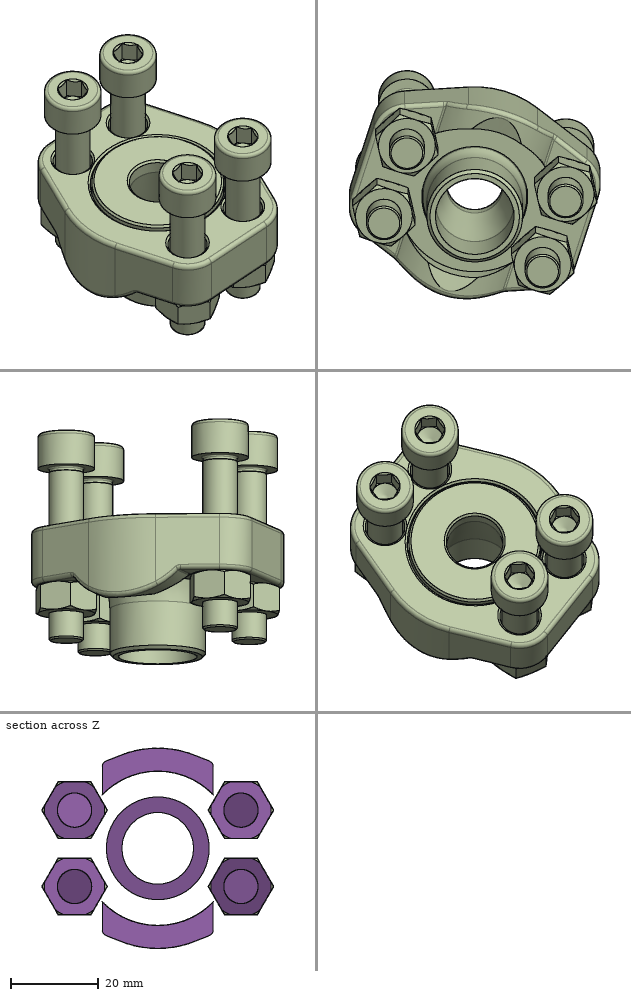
import cadquery as cq
import math


hexagon_half_step = 30.0

bolt_pitch_x = 38.1
bolt_pitch_y = 17.5
bolt_points = [(sx * bolt_pitch_x / 2, sy * bolt_pitch_y / 2) for sx in (-1, 1) for sy in (-1, 1)]

flange_length = 54.0
flange_width = 45.95
flange_thickness = 13.0
flange_edge_radius = 1.0
corner_radius = (flange_length - bolt_pitch_x) / 2
end_radius = flange_width / 2
belly_depth = 6.0
belly_radius = 17.0
belly_crease_radius = 0.65
edge_break = 0.5
bolt_hole_diameter = 9.0
recess_diameter = 30.95
flange_bore_diameter = 24.25
weld_clearance_diameter = 35.3
weld_clearance_flare_width = 3.8
weld_clearance_flare_height = 1.1

insert_height = 30.0
insert_bottom = -16.35
insert_top = insert_bottom + insert_height
insert_head_diameter = 30.2
insert_head_height = 5.0
seat_level = insert_top - insert_head_height
shank_diameter = 23.8
neck_diameter = 22.0
neck_top = -5.35
neck_blend_radius = 16.0
neck_chamfer = 0.75
bore_diameter = 13.0
pipe_bore_diameter = 18.0
straight_bore_depth = 3.5

screw_diameter = 8.0
screw_length = 40.0
screw_head_diameter = 13.0
screw_head_height = 8.0
screw_top = 35.25
head_seat = screw_top - screw_head_height
head_edge_radius = 0.8
relief_diameter = 7.8
relief_length = 1.0
relief_fillet = 0.4
screw_tip_chamfer = 0.4
socket_flats = 6.0
socket_depth = 5.0
socket_turn = 10.0
socket_cone_angle = 30.0

nut_flats = 13.0
nut_height = 6.5
nut_chamfer_angle = 30.0


def hexagon_corners(flats):
    """Diameter over the corners of a hexagon."""
    return flats / math.cos(math.radians(hexagon_half_step))


def disc(diameter, bottom, top):
    """Upright cylinder on the Z axis."""
    return cq.Workplane("XY").workplane(offset=bottom).circle(diameter / 2).extrude(top - bottom)


def revolve_about_z(profile):
    """Revolve a closed (radius, z) profile about the Z axis."""
    return profile.revolve(360, (0, 0, 0), (0, 1, 0))


def flange_outline():
    """Four corner arcs and two end arcs, joined by their common tangents."""
    cx = bolt_pitch_x / 2
    cy = bolt_pitch_y / 2
    normal = math.atan2(cy, cx) + math.acos((end_radius - corner_radius) / math.hypot(cx, cy))
    nx = math.cos(normal)
    ny = math.sin(normal)
    mid = normal / 2
    corner_end = (cx + corner_radius * nx, cy + corner_radius * ny)
    corner_mid = (cx + corner_radius * math.cos(mid), cy + corner_radius * math.sin(mid))
    end_start = (end_radius * nx, end_radius * ny)
    half_length = flange_length / 2
    return (
        cq.Workplane("XY")
        .moveTo(half_length, -cy)
        .lineTo(half_length, cy)
        .threePointArc(corner_mid, corner_end)
        .lineTo(*end_start)
        .threePointArc((0, end_radius), (-end_start[0], end_start[1]))
        .lineTo(-corner_end[0], corner_end[1])
        .threePointArc((-corner_mid[0], corner_mid[1]), (-half_length, cy))
        .lineTo(-half_length, -cy)
        .threePointArc((-corner_mid[0], -corner_mid[1]), (-corner_end[0], -corner_end[1]))
        .lineTo(-end_start[0], -end_start[1])
        .threePointArc((0, -end_radius), (end_start[0], -end_start[1]))
        .lineTo(corner_end[0], -corner_end[1])
        .threePointArc((corner_mid[0], -corner_mid[1]), (half_length, -cy))
        .close()
    )


def flange_blank():
    """Outline block whose underside is flat with a cylindrical belly across the middle."""
    block = flange_outline().extrude(flange_thickness + belly_depth)
    block = block.translate((0, 0, -belly_depth))
    belly_half_width = math.sqrt(belly_radius**2 - (belly_radius - belly_depth) ** 2)
    half_length = flange_length / 2
    side_profile = (
        cq.Workplane("XZ")
        .moveTo(-half_length, flange_thickness)
        .lineTo(-half_length, 0)
        .lineTo(-belly_half_width, 0)
        .threePointArc((0, -belly_depth), (belly_half_width, 0))
        .lineTo(half_length, 0)
        .lineTo(half_length, flange_thickness)
        .close()
        .extrude(flange_width / 2, both=True)
        .edges("|Y and (not >Z) and (not <X) and (not >X)")
        .fillet(belly_crease_radius)
    )
    blank = block.intersect(side_profile)
    blank = blank.faces(">Z").edges().fillet(flange_edge_radius)
    lower_rim = [
        edge
        for edge in blank.edges().vals()
        if edge.Center().z <= flange_edge_radius
        and math.hypot(edge.Center().x, edge.Center().y) > recess_diameter / 2
    ]
    return blank.newObject(lower_rim).fillet(flange_edge_radius)


def weld_clearance():
    """Round space cut through the belly up to the flat underside, flaring conically at its lower end."""
    wall_radius = weld_clearance_diameter / 2
    flare_top = weld_clearance_flare_height - belly_depth
    profile = (
        cq.Workplane("XZ")
        .lineTo(wall_radius, 0)
        .lineTo(wall_radius, flare_top)
        .lineTo(wall_radius + weld_clearance_flare_width, -belly_depth)
        .lineTo(0, -belly_depth)
        .close()
    )
    return revolve_about_z(profile)


def chamfered_hole(diameter, bottom):
    """Cutter for a hole down to the given level, with a chamfer at the flange's top face."""
    hole = disc(diameter, bottom, flange_thickness)
    mouth = revolve_about_z(
        cq.Workplane("XZ")
        .moveTo(0, flange_thickness)
        .lineTo(diameter / 2 + edge_break, flange_thickness)
        .lineTo(diameter / 2, flange_thickness - edge_break)
        .lineTo(0, flange_thickness - edge_break)
        .close()
    )
    return hole.union(mouth)


def make_flange():
    flange = flange_blank()
    flange = flange.cut(disc(flange_bore_diameter, -belly_depth, flange_thickness))
    flange = flange.cut(weld_clearance())
    flange = flange.cut(chamfered_hole(recess_diameter, seat_level))
    bolt_hole = chamfered_hole(bolt_hole_diameter, 0)
    for x, y in bolt_points:
        flange = flange.cut(bolt_hole.translate((x, y, 0)))
    return flange


def make_insert():
    """Stepped sleeve: head in the flange recess, shank blending into the neck, flared bore."""
    head_radius = insert_head_diameter / 2
    shank_radius = shank_diameter / 2
    neck_radius = neck_diameter / 2
    bore_radius = bore_diameter / 2
    pipe_radius = pipe_bore_diameter / 2
    blend_angle = math.acos(1 - (shank_radius - neck_radius) / neck_blend_radius)

    def blend_point(angle):
        return (
            neck_radius + neck_blend_radius * (1 - math.cos(angle)),
            neck_top + neck_blend_radius * math.sin(angle),
        )

    profile = (
        cq.Workplane("XZ")
        .moveTo(pipe_radius, insert_bottom)
        .lineTo(neck_radius - neck_chamfer, insert_bottom)
        .lineTo(neck_radius, insert_bottom + neck_chamfer)
        .lineTo(neck_radius, neck_top)
        .threePointArc(blend_point(blend_angle / 2), blend_point(blend_angle))
        .lineTo(shank_radius, seat_level)
        .lineTo(head_radius, seat_level)
        .lineTo(head_radius, insert_top - edge_break)
        .lineTo(head_radius - edge_break, insert_top)
        .lineTo(bore_radius + edge_break, insert_top)
        .lineTo(bore_radius, insert_top - edge_break)
        .lineTo(bore_radius, insert_top - straight_bore_depth)
        .lineTo(pipe_radius, neck_top)
        .close()
    )
    return revolve_about_z(profile)


def socket_cutter():
    """Hexagon socket, turned a little, with a countersunk mouth and a conical floor."""
    corners = hexagon_corners(socket_flats)
    flat_radius = socket_flats / 2
    hexagon = (
        cq.Workplane("XY")
        .workplane(offset=screw_top)
        .polygon(6, corners)
        .extrude(-socket_depth)
        .rotate((0, 0, 0), (0, 0, 1), hexagon_half_step + socket_turn)
    )
    mouth_drop = corners / 2 - flat_radius
    floor_level = screw_top - socket_depth
    floor_drop = flat_radius * math.tan(math.radians(socket_cone_angle))
    drill = revolve_about_z(
        cq.Workplane("XZ")
        .moveTo(0, screw_top)
        .lineTo(corners / 2, screw_top)
        .lineTo(flat_radius, screw_top - mouth_drop)
        .lineTo(flat_radius, floor_level)
        .lineTo(0, floor_level - floor_drop)
        .close()
    )
    return hexagon.union(drill)


def make_screw():
    """Socket head cap screw with a short relief under its head."""
    head = disc(screw_head_diameter, head_seat, screw_top).faces(">Z").edges().fillet(head_edge_radius)
    radius = screw_diameter / 2
    relief_radius = relief_diameter / 2
    tip = head_seat - screw_length
    step = radius - relief_radius
    fillet_mid = relief_fillet * (1 - math.sqrt(0.5))
    shank = revolve_about_z(
        cq.Workplane("XZ")
        .moveTo(0, head_seat)
        .lineTo(relief_radius + relief_fillet, head_seat)
        .threePointArc(
            (relief_radius + fillet_mid, head_seat - fillet_mid),
            (relief_radius, head_seat - relief_fillet),
        )
        .lineTo(relief_radius, head_seat - relief_length + step)
        .lineTo(radius, head_seat - relief_length)
        .lineTo(radius, tip + screw_tip_chamfer)
        .lineTo(radius - screw_tip_chamfer, tip)
        .lineTo(0, tip)
        .close()
    )
    return head.union(shank).cut(socket_cutter())


def make_nut():
    """Hexagon nut with corners along X, chamfered on both faces."""
    corners = hexagon_corners(nut_flats)
    flat_radius = nut_flats / 2
    corner_drop = (corners / 2 - flat_radius) * math.tan(math.radians(nut_chamfer_angle))
    hexagon = cq.Workplane("XY").polygon(6, corners).extrude(-nut_height)
    envelope = revolve_about_z(
        cq.Workplane("XZ")
        .moveTo(0, 0)
        .lineTo(flat_radius, 0)
        .lineTo(corners / 2, -corner_drop)
        .lineTo(corners / 2, corner_drop - nut_height)
        .lineTo(flat_radius, -nut_height)
        .lineTo(0, -nut_height)
        .close()
    )
    return hexagon.intersect(envelope).cut(disc(screw_diameter, -nut_height, 0))


flange = make_flange()
insert = make_insert()
screw = make_screw()
nut = make_nut()
screws = [screw.translate((x, y, 0)).val() for x, y in bolt_points]
nuts = [nut.translate((x, y, 0)).val() for x, y in bolt_points]

result = cq.Compound.makeCompound([flange.val(), insert.val(), *screws, *nuts])